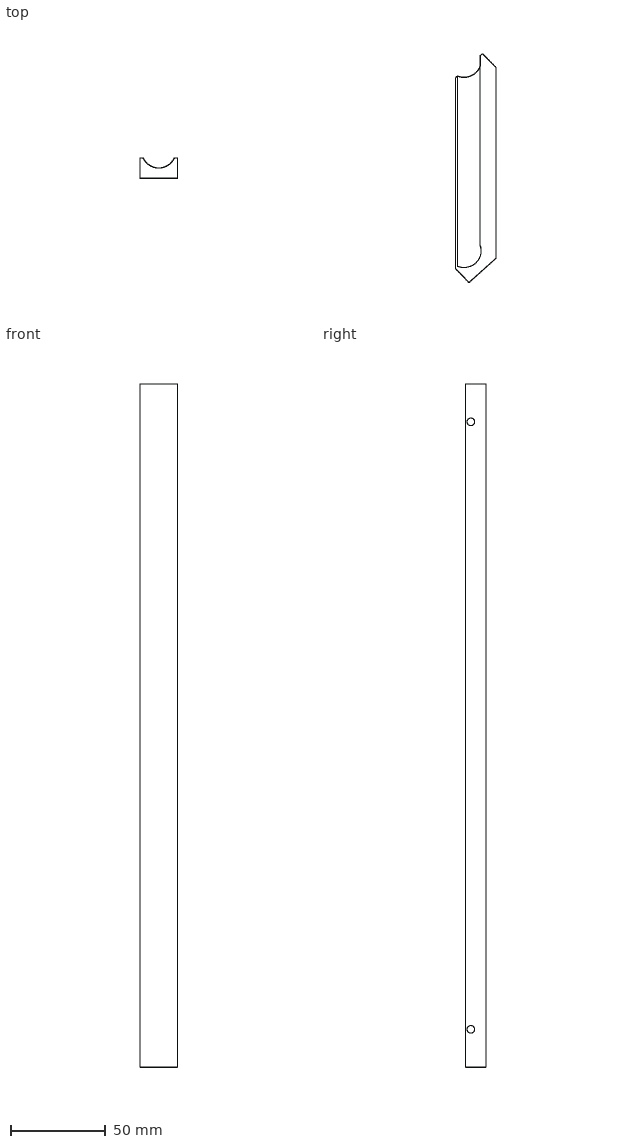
import cadquery as cq

width = 19.8
depth = 10.8
length = 360.0
edge_radius = 0.3

groove_radius = 9.0
groove_depth = 5.3

hole_diameter = 4.0
hole_depth = 2.0
hole_end_distance = 20.0
hole_back_distance = 2.8


def rounded_bar():
    return cq.Workplane("XY").box(width, depth, length).edges().fillet(edge_radius)


def groove():
    axis_y = depth / 2 - groove_depth + groove_radius
    return (
        cq.Workplane("XY")
        .center(0, axis_y)
        .circle(groove_radius)
        .extrude(length / 2, both=True)
    )


def side_holes():
    hole_y = hole_back_distance - depth / 2
    hole_z = length / 2 - hole_end_distance
    return (
        cq.Workplane("YZ", origin=(width / 2, 0, 0))
        .pushPoints([(hole_y, -hole_z), (hole_y, hole_z)])
        .circle(hole_diameter / 2)
        .extrude(-hole_depth)
    )


result = rounded_bar().cut(groove()).cut(side_holes())